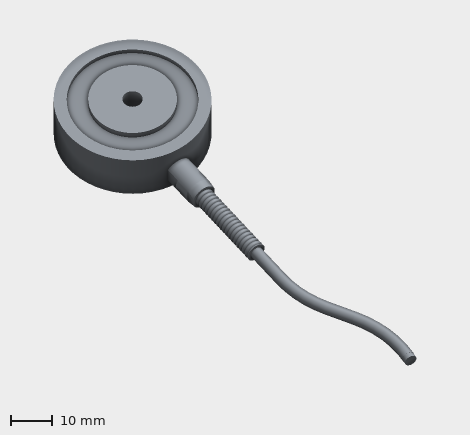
import cadquery as cq
import math

overall_length = 117.5

body_diameter = 37.6
body_height = 12.3
recess_diameter = 31.4
recess_depth = 1.3
boss_diameter = 21.2
boss_top = 12.7
bore_diameter = 4.8

gland_axis_height = 4.6
gland_root = 16.5
gland_diameter = 7.0
gland_taper_start = 27.0
gland_end = 29.1
gland_end_diameter = 6.5
rear_flats_width = 6.0
rear_flats_end = 22.6
front_flats_width = 6.1
front_flats_start = 26.8

relief_end = 50.4
relief_diameter = 4.9
rib_pitch = 1.16
full_rib_count = 18

cable_diameter = 3.2
tip_diameter = 3.0
first_bend_start = 60.6
bend_radius = 25.9
slant_angle = 31.0
slant_length = 7.4
tip_angle = 8.0
droop_angle = 5.5


def make_body():
    disc = cq.Workplane("XY").circle(body_diameter / 2).extrude(body_height)
    floor_height = body_height - recess_depth
    recess = cq.Workplane("XY", origin=(0, 0, floor_height)).circle(recess_diameter / 2).extrude(recess_depth)
    boss = cq.Workplane("XY").circle(boss_diameter / 2).extrude(boss_top)
    return disc.cut(recess).union(boss)


def flat_cutters(start, end, width):
    """Pair of blocks that cut flats on the +Y and -Y sides of the gland."""
    block = cq.Workplane("XY").box(end - start, gland_diameter, gland_diameter)
    offset = (width + gland_diameter) / 2
    middle = (start + end) / 2
    return block.translate((middle, offset, 0)).union(block.translate((middle, -offset, 0)))


def make_gland():
    gland = (
        cq.Workplane("XY")
        .moveTo(gland_root, 0)
        .lineTo(gland_root, gland_diameter / 2)
        .lineTo(gland_taper_start, gland_diameter / 2)
        .lineTo(gland_end, gland_end_diameter / 2)
        .lineTo(gland_end, 0)
        .close()
        .revolve(360, (0, 0, 0), (1, 0, 0))
    )
    rear_flats = flat_cutters(gland_root, rear_flats_end, rear_flats_width)
    front_flats = flat_cutters(front_flats_start, gland_end, front_flats_width)
    return gland.cut(rear_flats).cut(front_flats)


def make_strain_relief():
    """Turned sleeve outlined by equal half-round ribs, ending on the crest of a last half rib."""
    rib_radius = rib_pitch / 2
    crest_radius = relief_diameter / 2
    root_radius = crest_radius - rib_radius
    last_start = relief_end - rib_radius
    relief_start = last_start - full_rib_count * rib_pitch
    outline = cq.Workplane("XY").moveTo(relief_start, 0).lineTo(relief_start, root_radius)
    for rib in range(full_rib_count):
        start = relief_start + rib * rib_pitch
        outline = outline.threePointArc((start + rib_radius, crest_radius), (start + rib_pitch, root_radius))
    diagonal = rib_radius * math.sqrt(0.5)
    arc_middle = (relief_end - diagonal, root_radius + diagonal)
    outline = outline.threePointArc(arc_middle, (relief_end, crest_radius))
    return outline.lineTo(relief_end, 0).close().revolve(360, (0, 0, 0), (1, 0, 0))


def along(point, distance, angle):
    """Point reached by moving a distance at an angle in degrees from +X."""
    heading = math.radians(angle)
    return (point[0] + distance * math.cos(heading), point[1] + distance * math.sin(heading))


def make_cable():
    first_centre = (first_bend_start, bend_radius)
    first_middle = along(first_centre, bend_radius, slant_angle / 2 - 90)
    first_end = along(first_centre, bend_radius, slant_angle - 90)

    second_start = along(first_end, slant_length, slant_angle)
    second_centre = along(second_start, bend_radius, slant_angle - 90)
    second_middle = along(second_centre, bend_radius, 90 + (slant_angle - tip_angle) / 2)
    second_end = along(second_centre, bend_radius, 90 - tip_angle)

    path = (
        cq.Workplane("XY")
        .moveTo(gland_end, 0)
        .lineTo(first_bend_start, 0)
        .threePointArc(first_middle, first_end)
        .lineTo(*second_start)
        .threePointArc(second_middle, second_end)
    )
    cable = cq.Workplane("YZ", origin=(gland_end, 0, 0)).circle(cable_diameter / 2).sweep(path)

    heading = math.radians(tip_angle)
    reach = overall_length - body_diameter / 2 - second_end[0]
    tip_length = (reach - tip_diameter / 2 * math.sin(heading)) / math.cos(heading)
    tip_plane = cq.Plane(
        origin=(second_end[0], second_end[1], 0),
        xDir=(0, 0, 1),
        normal=(math.cos(heading), -math.sin(heading), 0),
    )
    tip = cq.Workplane(tip_plane).circle(tip_diameter / 2).extrude(tip_length)
    return cable.union(tip).rotate((0, 0, 0), (1, 0, 0), -droop_angle)


cable_assembly = make_gland().union(make_strain_relief()).union(make_cable())
bore = cq.Workplane("XY").circle(bore_diameter / 2).extrude(boss_top)
result = make_body().union(cable_assembly.translate((0, 0, gland_axis_height))).cut(bore)